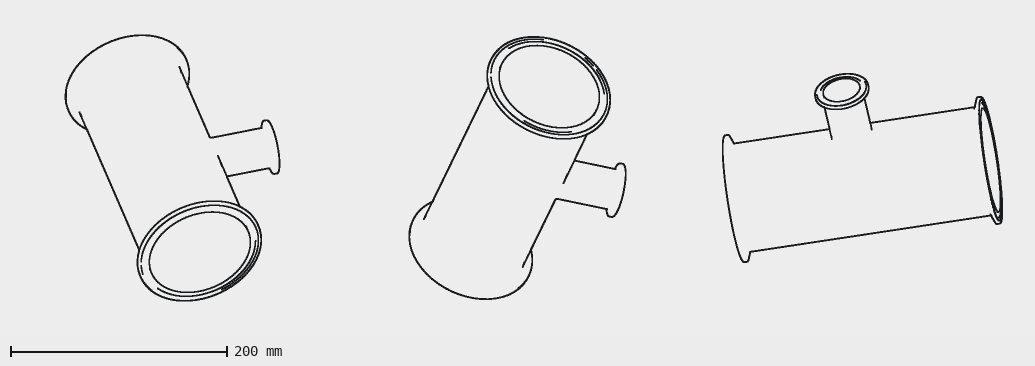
import cadquery as cq
import math

RUN_LENGTH = 241.3
RUN_OUTER_DIA = 101.5
RUN_BORE_DIA = 97.5
RUN_FLANGE_DIA = 119.0
RUN_GROOVE_DIA = 110.3

OVERALL_DEPTH = 164.3
BRANCH_REACH = OVERALL_DEPTH - RUN_FLANGE_DIA / 2
BRANCH_OUTER_DIA = 38.1
BRANCH_BORE_DIA = 34.7
BRANCH_FLANGE_DIA = 50.5
BRANCH_GROOVE_DIA = 43.7
BRANCH_WELD_FILLET = 1.7

RUN_FERRULE_LENGTH = 16.0
BRANCH_FERRULE_LENGTH = 12.8

RIM_THICKNESS = 3.1
RIM_FILLET = 0.7
CONE_ANGLE = 22.0
NECK_FILLET = 1.0
GROOVE_WIDTH = 3.1
GROOVE_DEPTH = 1.2
GROOVE_LIP_FILLET = 0.7


def ferrule(face, length, flange_dia, pipe_dia, bore_dia, groove_dia):
    """Bored ferrule whose grooved flange face lies on the given plane, growing along its normal."""
    flange_radius = flange_dia / 2
    pipe_radius = pipe_dia / 2
    bore_radius = bore_dia / 2
    slope = math.tan(math.radians(CONE_ANGLE))
    cone_end = RIM_THICKNESS + (flange_radius - pipe_radius) * slope
    groove_radius = groove_dia / 2

    section = (
        cq.Workplane("XZ")
        .moveTo(bore_radius, 0)
        .lineTo(flange_radius, 0)
        .lineTo(flange_radius, RIM_THICKNESS)
        .lineTo(pipe_radius, cone_end)
        .lineTo(pipe_radius, length)
        .lineTo(bore_radius, length)
        .close()
    )
    body = section.revolve(360, (0, 0, 0), (0, 1, 0))

    rim_corners = cq.selectors.RadiusNthSelector(-1)
    neck_corner = cq.selectors.NearestToPointSelector((0, 0, cone_end))
    body = body.edges(rim_corners).fillet(RIM_FILLET).edges(neck_corner).fillet(NECK_FILLET)

    groove = (
        cq.Workplane("XZ")
        .moveTo(groove_radius - GROOVE_WIDTH / 2, 0)
        .threePointArc((groove_radius, GROOVE_DEPTH), (groove_radius + GROOVE_WIDTH / 2, 0))
        .close()
        .revolve(360, (0, 0, 0), (0, 1, 0))
    )

    groove_lips = cq.selectors.RadiusNthSelector(1) + cq.selectors.RadiusNthSelector(2)
    body = body.cut(groove).edges("<Z").edges(groove_lips).fillet(GROOVE_LIP_FILLET)
    return cq.Workplane(body.val().moved(face.location))


left_face = cq.Plane(origin=(-RUN_LENGTH / 2, 0, 0), xDir=(0, 0, 1), normal=(1, 0, 0))
right_face = cq.Plane(origin=(RUN_LENGTH / 2, 0, 0), xDir=(0, 0, 1), normal=(-1, 0, 0))
branch_face = cq.Plane(origin=(0, BRANCH_REACH, 0), xDir=(0, 0, 1), normal=(0, -1, 0))

run_pipe_length = RUN_LENGTH - 2 * RUN_FERRULE_LENGTH
branch_pipe_length = BRANCH_REACH - BRANCH_FERRULE_LENGTH
run_pipe = cq.Workplane(left_face).workplane(offset=RUN_FERRULE_LENGTH).circle(RUN_OUTER_DIA / 2)
run_pipe = run_pipe.extrude(run_pipe_length)
branch_start = cq.Workplane(branch_face).workplane(offset=BRANCH_FERRULE_LENGTH)
branch_pipe = branch_start.circle(BRANCH_OUTER_DIA / 2).extrude(branch_pipe_length)
joint_edge = cq.selectors.NearestToPointSelector((0, RUN_OUTER_DIA / 2, 0))
tee = run_pipe.union(branch_pipe).edges(joint_edge).fillet(BRANCH_WELD_FILLET)

run_bore = cq.Workplane(left_face).circle(RUN_BORE_DIA / 2).extrude(RUN_LENGTH)
branch_bore = cq.Workplane(branch_face).circle(BRANCH_BORE_DIA / 2).extrude(BRANCH_REACH)
tee = tee.cut(run_bore).cut(branch_bore)

for run_face in (left_face, right_face):
    run_ferrule = ferrule(
        run_face, RUN_FERRULE_LENGTH, RUN_FLANGE_DIA, RUN_OUTER_DIA, RUN_BORE_DIA, RUN_GROOVE_DIA
    )
    tee = tee.union(run_ferrule)
branch_ferrule = ferrule(
    branch_face,
    BRANCH_FERRULE_LENGTH,
    BRANCH_FLANGE_DIA,
    BRANCH_OUTER_DIA,
    BRANCH_BORE_DIA,
    BRANCH_GROOVE_DIA,
)
result = tee.union(branch_ferrule)